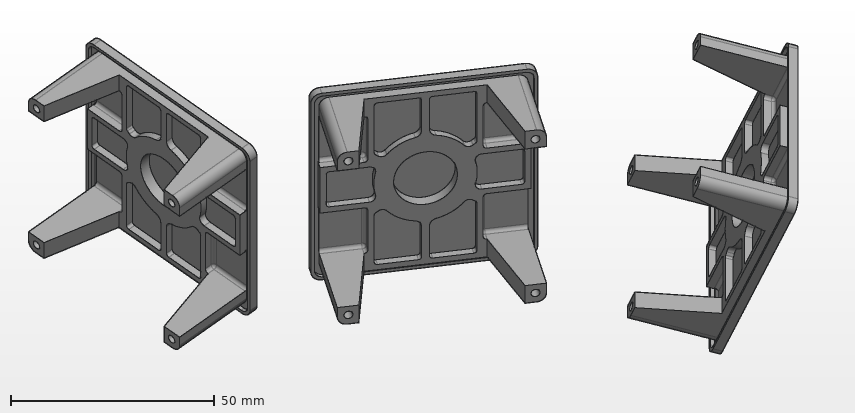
import cadquery as cq
import math

SIDE = 57.0
DEPTH = 24.8
PLATE_THICKNESS = 2.5
PLATE_CORNER_RADIUS = 2.75
RIM_WIDTH = 0.9
RIM_INNER_RADIUS = 2.1
GROOVE_DEPTH = 1.0

PAD_HALF = 26.3
PAD_HEIGHT = 1.5
PAD_CORNER_RADIUS = 2.5
CROSSBAR_HALF_LENGTH = 26.5
CROSSBAR_HALF_HEIGHT = 6.95

LEG_WIDTH = 5.4
LEG_ROOT_LENGTH = 10.85
HOLE_DIAMETER = 2.2
HOLE_OFFSET = 23.5

SIDE_POCKET_INNER_X = 14.5
SIDE_POCKET_DEPTH = 3.0
SIDE_POCKET_RADIUS = 0.95

HUB_POCKET_DIAMETER = 16.0
HUB_POCKET_DEPTH = 3.0
HUB_RADIUS = 13.0
PANEL_DEPTH = 2.0
PANEL_OUTER_RADIUS = 0.8
HUB_SPOKE_RADIUS = 1.6
HUB_RIB_RADIUS = 2.0
SPOKE_ANGLE = 36.0
SPOKE_OUTER_Z = 9.1
CENTER_RIB_WIDTH = 2.0
END_PANEL_OUTER_X = 12.9
END_PANEL_OUTER_Z = 24.7
CROSSBAR_PANEL_OUTER_X = 24.9
CROSSBAR_PANEL_HALF_HEIGHT = 5.35

BACK_Y = DEPTH / 2
RIM_Y = BACK_Y - PLATE_THICKNESS
GROOVE_Y = RIM_Y + GROOVE_DEPTH
PAD_Y = RIM_Y - PAD_HEIGHT
TIP_Y = BACK_Y - DEPTH


def block(x0, x1, y0, y1, z0, z1):
    """Box spanning the given limits on each axis."""
    return cq.Workplane("XY").box(x1 - x0, y1 - y0, z1 - z0, centered=False).translate((x0, y0, z0))


def rounded_square(half, radius, y0, y1):
    """Centred square slab with rounded corners, spanning y0 to y1."""
    return block(-half, half, y0, y1, -half, half).edges("|Y").fillet(radius)


def cylinder(radius, y0, y1, x=0, z=0):
    """Cylinder along Y."""
    return cq.Workplane("XZ", origin=(x, y0, z)).circle(radius).extrude(y0 - y1)


def in_each_quarter(shape):
    """Copies of a shape from the +X +Z quarter, mirrored into all four quarters."""
    half = shape.union(shape.mirror("YZ"))
    return half.union(half.mirror("XY"))


def plate():
    slab = rounded_square(SIDE / 2, PLATE_CORNER_RADIUS, RIM_Y, BACK_Y)
    recess = rounded_square(SIDE / 2 - RIM_WIDTH, RIM_INNER_RADIUS, RIM_Y, GROOVE_Y)
    pad = rounded_square(PAD_HALF, PAD_CORNER_RADIUS, PAD_Y, GROOVE_Y)
    crossbar = block(
        -CROSSBAR_HALF_LENGTH,
        CROSSBAR_HALF_LENGTH,
        PAD_Y,
        GROOVE_Y,
        -CROSSBAR_HALF_HEIGHT,
        CROSSBAR_HALF_HEIGHT,
    )
    return slab.cut(recess).union(pad).union(crossbar)


def leg():
    """Leg of the +X +Z corner: its inner side tapers toward the tip."""
    bottom_z = PAD_HALF - LEG_WIDTH
    profile = [
        (PAD_HALF, PAD_Y),
        (PAD_HALF - LEG_ROOT_LENGTH, PAD_Y),
        (PAD_HALF - LEG_WIDTH, TIP_Y),
        (PAD_HALF, TIP_Y),
    ]
    body = cq.Workplane("XY", origin=(0, 0, bottom_z)).polyline(profile).close().extrude(LEG_WIDTH)
    return body.edges("|Y and >X and >Z").fillet(PAD_CORNER_RADIUS)


def side_pocket():
    """Pocket with rounded floor edges, open at the outer side of the pad."""
    bottom_z = CROSSBAR_HALF_HEIGHT
    top_z = PAD_HALF - LEG_WIDTH
    cutter = block(SIDE_POCKET_INNER_X, SIDE / 2, PAD_Y, PAD_Y + SIDE_POCKET_DEPTH, bottom_z, top_z)
    cutter = cutter.edges("|Y and <X").fillet(SIDE_POCKET_RADIUS)
    cutter = cutter.faces(">Y").edges("not >X").fillet(SIDE_POCKET_RADIUS)
    return cutter.intersect(block(0, PAD_HALF, TIP_Y, BACK_Y, 0, PAD_HALF))


def panel(outline):
    """Shallow pocket with the given (x, z) outline, kept clear of the round hub."""
    floor_y = PAD_Y + PANEL_DEPTH
    prism = cq.Workplane("XZ", origin=(0, PAD_Y, 0)).polyline(outline).close().extrude(-PANEL_DEPTH)
    return prism.cut(cylinder(HUB_RADIUS, PAD_Y, floor_y))


def end_panel():
    """Panel of the +X +Z quarter, between the center rib and the slanted spoke."""
    rib_x = CENTER_RIB_WIDTH / 2
    spoke_drop = (END_PANEL_OUTER_X - rib_x) * math.tan(math.radians(SPOKE_ANGLE))
    outline = [
        (rib_x, SPOKE_OUTER_Z - spoke_drop),
        (rib_x, END_PANEL_OUTER_Z),
        (END_PANEL_OUTER_X, END_PANEL_OUTER_Z),
        (END_PANEL_OUTER_X, SPOKE_OUTER_Z),
    ]
    cutter = panel(outline)
    cutter = cutter.faces(">X or >Z").edges("|Y").fillet(PANEL_OUTER_RADIUS)
    cutter = cutter.edges("|Y").edges("<Z").fillet(HUB_SPOKE_RADIUS)
    return cutter.edges("|Y").edges("<X").edges("<Z").fillet(HUB_RIB_RADIUS)


def crossbar_panel():
    """Panel at the +X end of the crossbar."""
    height = CROSSBAR_PANEL_HALF_HEIGHT
    outline = [
        (0, -height),
        (0, height),
        (CROSSBAR_PANEL_OUTER_X, height),
        (CROSSBAR_PANEL_OUTER_X, -height),
    ]
    cutter = panel(outline)
    cutter = cutter.edges("|Y").edges("not >X").fillet(HUB_SPOKE_RADIUS)
    return cutter.faces(">X").edges("|Y").fillet(PANEL_OUTER_RADIUS)


screw_hole = cylinder(HOLE_DIAMETER / 2, TIP_Y, BACK_Y, HOLE_OFFSET, HOLE_OFFSET)
hub_pocket = cylinder(HUB_POCKET_DIAMETER / 2, PAD_Y, PAD_Y + HUB_POCKET_DEPTH)

result = (
    plate()
    .union(in_each_quarter(leg()))
    .cut(in_each_quarter(side_pocket()))
    .cut(in_each_quarter(end_panel()))
    .cut(in_each_quarter(crossbar_panel()))
    .cut(hub_pocket)
    .cut(in_each_quarter(screw_hole))
)